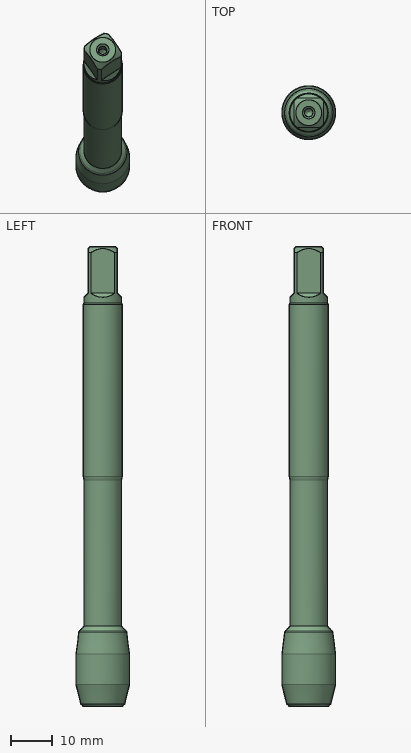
import cadquery as cq

total_length = 110.0
head_length = 19.2

head_diameter = 12.9
nose_diameter = 10.6
nose_chamfer = 0.7
nose_taper_end = 5.3
back_taper_start = 12.5
back_diameter = 11.5
back_rim_height = 17.8
back_chamfer_diameter = 10.9
back_chamfer_height = 18.3

neck_diameter = 9.0
shank_diameter = 9.4
shank_bottom = 55.0
step_height = 0.8
shank_top = 96.6
shank_chamfer = 0.4
drive_diameter = 9.0

square_width = 7.0
square_bottom = 98.9
end_chamfer = 1.4

centre_hole_diameter = 2.0
centre_hole_depth = 2.8
countersink_diameter = 3.0


def make_head():
    nose_radius = nose_diameter / 2
    return (
        cq.Workplane("XZ")
        .lineTo(nose_radius - nose_chamfer, 0)
        .lineTo(nose_radius, nose_chamfer)
        .lineTo(head_diameter / 2, nose_taper_end)
        .lineTo(head_diameter / 2, back_taper_start)
        .lineTo(back_diameter / 2, back_rim_height)
        .lineTo(back_chamfer_diameter / 2, back_chamfer_height)
        .lineTo(neck_diameter / 2, head_length)
        .lineTo(0, head_length)
        .close()
        .revolve(360, (0, 0), (0, 1))
    )


def make_turned_shank():
    neck_radius = neck_diameter / 2
    shank_radius = shank_diameter / 2
    drive_radius = drive_diameter / 2
    return (
        cq.Workplane("XZ")
        .moveTo(0, head_length)
        .lineTo(neck_radius, head_length)
        .lineTo(neck_radius, shank_bottom - step_height)
        .lineTo(shank_radius, shank_bottom)
        .lineTo(shank_radius, shank_top - shank_chamfer)
        .lineTo(drive_radius, shank_top)
        .lineTo(drive_radius, total_length - end_chamfer)
        .lineTo(drive_radius - end_chamfer, total_length)
        .lineTo(0, total_length)
        .close()
        .revolve(360, (0, 0), (0, 1))
    )


def make_flat_cutter():
    """Cutter for the +X flat, with a 45 degree run-out at its foot."""
    flat_x = square_width / 2
    outer_x = shank_diameter / 2
    return (
        cq.Workplane("XZ")
        .moveTo(flat_x, square_bottom)
        .lineTo(outer_x, square_bottom - (outer_x - flat_x))
        .lineTo(outer_x, total_length)
        .lineTo(flat_x, total_length)
        .close()
        .extrude(shank_diameter / 2, both=True)
    )


def make_centre_hole():
    """Countersunk bore cutter, revolved about Z."""
    hole_radius = centre_hole_diameter / 2
    countersink_radius = countersink_diameter / 2
    countersink_depth = countersink_radius - hole_radius
    return (
        cq.Workplane("XZ")
        .moveTo(0, total_length)
        .lineTo(countersink_radius, total_length)
        .lineTo(hole_radius, total_length - countersink_depth)
        .lineTo(hole_radius, total_length - centre_hole_depth)
        .lineTo(0, total_length - centre_hole_depth - hole_radius)
        .close()
        .revolve(360, (0, 0), (0, 1))
    )


def make_shank():
    shank = make_turned_shank()
    for angle in range(0, 360, 90):
        shank = shank.cut(make_flat_cutter().rotate((0, 0, 0), (0, 0, 1), angle))
    return shank.cut(make_centre_hole())


head = make_head()
shank = make_shank()

result = cq.Compound.makeCompound([head.val(), shank.val()])